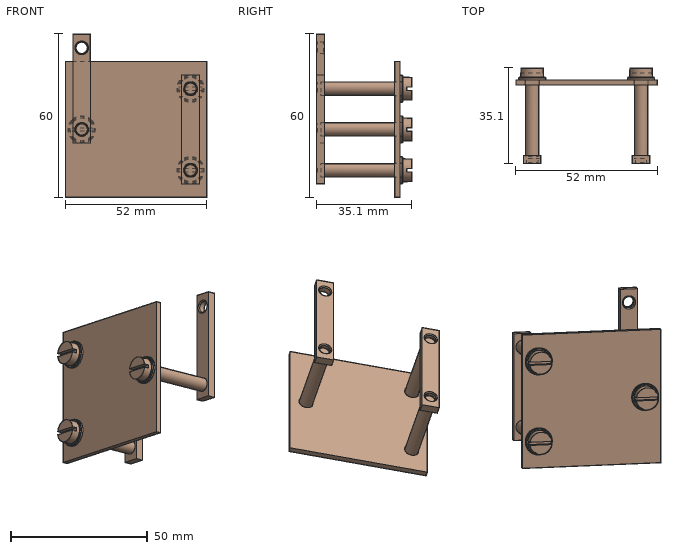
import cadquery as cq

PLATE_WIDTH = 52.0
PLATE_HEIGHT = 50.0
PLATE_THICKNESS = 2.0

BAR_WIDTH = 6.5
BAR_LENGTH = 40.0
BAR_THICKNESS = 3.0
BAR_HOLE_DIAMETER = 4.15
HOLE_SPACING = 30.0
BAR_HOLE_END_MARGIN = (BAR_LENGTH - HOLE_SPACING) / 2
BAR_HOLE_CHAMFER = 0.4
BAR_SIDE_INSET = 6.0
LEFT_BAR_BOTTOM = 20.0
RIGHT_BAR_BOTTOM = 5.0

WASHER_DIAMETER = 10.0
WASHER_THICKNESS = 1.0
WASHER_CHAMFER = 0.3

CLEARANCE_DIAMETER = 5.3

SHANK_DIAMETER = 5.0
SHANK_LENGTH = 30.0
HEAD_BASE_DIAMETER = 8.5
HEAD_TOP_DIAMETER = 8.35
HEAD_HEIGHT = 3.3
SLOT_WIDTH = 1.2
SLOT_DEPTH = 1.8

BAR_TO_PLATE_GAP = 25.8
PLATE_FRONT = BAR_THICKNESS + BAR_TO_PLATE_GAP
PLATE_BACK = PLATE_FRONT + PLATE_THICKNESS
WASHER_BACK = PLATE_BACK + WASHER_THICKNESS
HEAD_BACK = WASHER_BACK + HEAD_HEIGHT
SHANK_TIP = WASHER_BACK - SHANK_LENGTH

LEFT_X = BAR_SIDE_INSET
RIGHT_X = PLATE_WIDTH - BAR_SIDE_INSET
LEFT_HOLE_Z = LEFT_BAR_BOTTOM + BAR_HOLE_END_MARGIN
RIGHT_HOLE_Z = RIGHT_BAR_BOTTOM + BAR_HOLE_END_MARGIN
SCREW_POSITIONS = [
    (LEFT_X, LEFT_HOLE_Z),
    (RIGHT_X, RIGHT_HOLE_Z),
    (RIGHT_X, RIGHT_HOLE_Z + HOLE_SPACING),
]
BARS = [
    (LEFT_X, LEFT_BAR_BOTTOM, [LEFT_HOLE_Z]),
    (RIGHT_X, RIGHT_BAR_BOTTOM, [RIGHT_HOLE_Z, RIGHT_HOLE_Z + HOLE_SPACING]),
]


def cylinder_along_y(x, z, diameter, y_start, y_end):
    return cq.Workplane(cq.Solid.makeCylinder(
        diameter / 2, y_end - y_start, cq.Vector(x, y_start, z), cq.Vector(0, 1, 0)))


def cone_along_y(x, z, start_diameter, end_diameter, y_start, y_end):
    return cq.Workplane(cq.Solid.makeCone(
        start_diameter / 2, end_diameter / 2, y_end - y_start,
        cq.Vector(x, y_start, z), cq.Vector(0, 1, 0)))


def make_plate():
    plate = cq.Workplane().box(PLATE_WIDTH, PLATE_THICKNESS, PLATE_HEIGHT, centered=False)
    plate = plate.translate((0, PLATE_FRONT, 0))
    for x, z in SCREW_POSITIONS:
        plate = plate.cut(cylinder_along_y(x, z, CLEARANCE_DIAMETER, PLATE_FRONT, PLATE_BACK))
    return plate


def make_bar(x, bottom, screw_heights):
    bar = cq.Workplane().box(BAR_WIDTH, BAR_THICKNESS, BAR_LENGTH, centered=False)
    bar = bar.translate((x - BAR_WIDTH / 2, 0, bottom))

    lower_hole = bottom + BAR_HOLE_END_MARGIN
    chamfer_diameter = BAR_HOLE_DIAMETER + 2 * BAR_HOLE_CHAMFER
    for z in (lower_hole, lower_hole + HOLE_SPACING):
        bar = bar.cut(cylinder_along_y(x, z, BAR_HOLE_DIAMETER, 0, BAR_THICKNESS))
        bar = bar.cut(cone_along_y(x, z, chamfer_diameter, BAR_HOLE_DIAMETER, 0, BAR_HOLE_CHAMFER))
        bar = bar.cut(cone_along_y(
            x, z, BAR_HOLE_DIAMETER, chamfer_diameter, BAR_THICKNESS - BAR_HOLE_CHAMFER, BAR_THICKNESS))

    for z in screw_heights:
        bar = bar.cut(cylinder_along_y(x, z, SHANK_DIAMETER, SHANK_TIP, BAR_THICKNESS))
    return bar


def make_washer(x, z):
    washer = cylinder_along_y(x, z, WASHER_DIAMETER, PLATE_BACK, WASHER_BACK)
    washer = washer.faces(">Y").edges().chamfer(WASHER_CHAMFER)
    return washer.cut(cylinder_along_y(x, z, CLEARANCE_DIAMETER, PLATE_BACK, WASHER_BACK))


def make_screw(x, z):
    shank = cylinder_along_y(x, z, SHANK_DIAMETER, SHANK_TIP, WASHER_BACK)
    head = cone_along_y(x, z, HEAD_BASE_DIAMETER, HEAD_TOP_DIAMETER, WASHER_BACK, HEAD_BACK)
    slot = cq.Workplane().box(HEAD_BASE_DIAMETER, SLOT_DEPTH, SLOT_WIDTH)
    slot = slot.translate((x, HEAD_BACK - SLOT_DEPTH / 2, z))
    return shank.union(head.cut(slot))


plate = make_plate()
bars = [make_bar(x, bottom, screw_heights) for x, bottom, screw_heights in BARS]
washers = [make_washer(x, z) for x, z in SCREW_POSITIONS]
screws = [make_screw(x, z) for x, z in SCREW_POSITIONS]

result = cq.Compound.makeCompound([body.val() for body in [plate, *bars, *washers, *screws]])